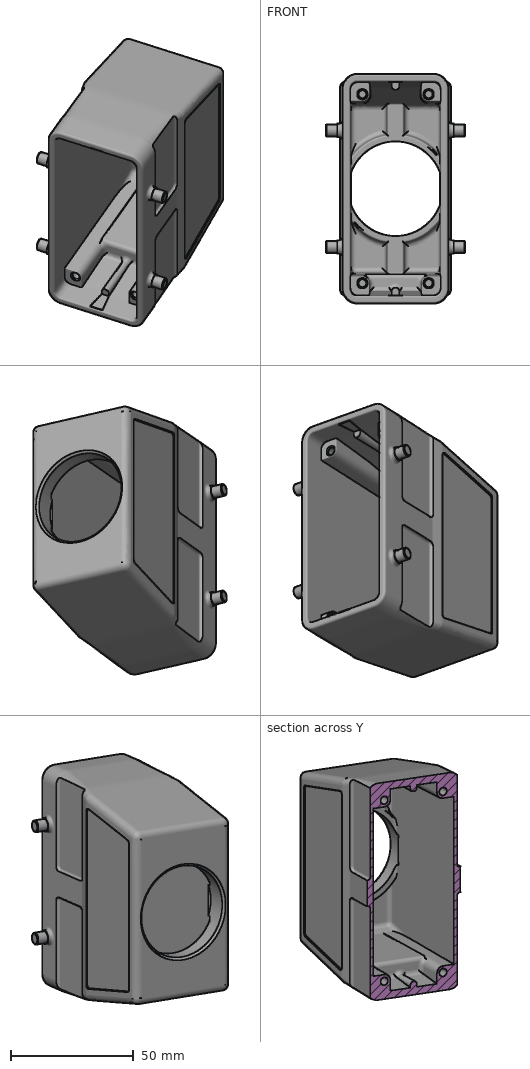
import cadquery as cq
import math


hood_length = 76.0
rim_half_width = 21.5
rim_half_height = 46.85
back_half_width = 22.7
end_bend_depth = 11.2
waist_depth = 32.0
flare_end_depth = 37.0
waist_half_height = 44.7
back_half_height = 36.2
rim_corner_radius = 6.0
body_edge_radius = 2.8
back_edge_radius = 2.79
end_bend_radius = 25.0
waist_bend_radius = 40.0
flare_bend_radius = 7.0
waist_side_radius = 0.1
rim_outer_radius = 1.0

cavity_depth = 73.0
cavity_rim_half_width = 18.4
cavity_back_half_width = 18.1
cavity_rim_half_height = 43.7
cavity_bend_half_height = 43.4
cavity_bend_radius = 55.0
cavity_waist_half_height = 41.4
cavity_back_half_height = 33.7
cavity_rim_corner_radius = 2.9
cavity_back_corner_radius = 2.0
rim_inner_radius = 0.65
floor_fillet = 1.9

entry_radius = 19.25
entry_chamfer = 1.0
ring_radius = 22.0
rib_half_width = 3.2
ring_height = 5.0
ring_draft = 10.0
ring_edge_radius = 0.6
ring_wall_fillet = 1.2

fitting_depth = 9.5
screw_x = 13.5
screw_z = 38.5
boss_corner_radius = 2.8
boss_draft = 1.0
boss_edge_radius = 0.3
screw_hole_radius = 1.6
screw_hole_chamfer = 0.55
screw_hole_depth = 15.0
post_radius = 1.6
post_z = 41.9
pad_z = 43.35
pad_start = 0.8
pad_rim_half_width = 2.8
filler_depth = 30.0
filler_edge_radius = 1.8
filler_corner_fillet = 1.8
filler_half_width = 12.0
filler_top_z = -34.8

grip_depth = 1.4
grip_start = 11.6
grip_end = 32.4
grip_half_gap = 5.55
grip_corner_radius = 2.0
grip_floor_fillet = 1.0
panel_depth = 0.4
panel_start = 37.2
panel_end = 70.7
panel_margin = 5.25
panel_corner_radius = 1.5
panel_edge_chamfer = 0.36

peg_tip_x = 28.5
peg_depth = 6.2
peg_z = 23.75
peg_radius = 2.5
peg_collar_radius = 2.85
peg_collar_end = 23.65
peg_base_radius = 4.1
peg_tip_chamfer = 0.4
peg_root = 1.0

SIDES = (-1, 1)
SELECT_TOLERANCE = 0.01


def section_plane(depth):
    """Plane across the hood at the given depth; local x, y are X, Z and +Y is -normal."""
    return cq.Workplane("XZ", origin=(0, depth, 0))


def slice_box(depth, half_x, z_min, z_max):
    """Selector for what has its centre in the given X, Z window at the given depth."""
    near, far = depth - SELECT_TOLERANCE, depth + SELECT_TOLERANCE
    return cq.selectors.BoxSelector((-half_x, near, z_min), (half_x, far, z_max))


def rounded_loft(stations):
    """Ruled loft through rounded rectangles (depth, half width, half height, corner radius)."""
    sketches = []
    for depth, half_width, half_height, radius in stations:
        sketch = cq.Sketch().rect(2 * half_width, 2 * half_height).vertices().fillet(radius)
        sketches.append(sketch.moved(cq.Location(cq.Vector(0, 0, -depth))))
    return cq.Workplane("XZ").placeSketch(*sketches).loft(ruled=True)


def bend_points(before, here, after):
    """Start, middle and end of the arc that rounds the corner at the middle station."""
    corner = cq.Vector(here[0], here[1])
    inward = (cq.Vector(before[0], before[1]) - corner).normalized()
    onward = (cq.Vector(after[0], after[1]) - corner).normalized()
    half_turn = (math.pi - inward.getAngle(onward)) / 2
    tangent = here[2] * math.tan(half_turn)
    sagitta = here[2] * (1 / math.cos(half_turn) - 1)
    bisector = (inward + onward).normalized()
    points = [corner + inward * tangent, corner + bisector * sagitta, corner + onward * tangent]
    return [(p.x, p.y) for p in points]


def bent_profile(plane, half_span, outline):
    """Prism symmetric about the Y axis, its outline bent smoothly at the inner stations.

    outline lists (depth, half size, bend radius); the two end stations have no bend.
    """
    on_yz = plane == "YZ"

    def place(depth, size):
        return (depth, size) if on_yz else (size, depth)

    def trace(wire, stations, sign):
        for before, here, after in zip(stations, stations[1:], stations[2:]):
            start, middle, end = bend_points(before, here, after)
            wire = wire.lineTo(*place(start[0], sign * start[1]))
            wire = wire.threePointArc(
                place(middle[0], sign * middle[1]),
                place(end[0], sign * end[1]),
            )
        return wire.lineTo(*place(stations[-1][0], sign * stations[-1][1]))

    first, last = outline[0], outline[-1]
    wire = trace(cq.Workplane(plane).moveTo(*place(*first[:2])), outline, 1)
    wire = wire.lineTo(*place(last[0], -last[1]))
    wire = trace(wire, outline[::-1], -1)
    return wire.close().extrude(half_span, both=True)


def outer_half_height(depth):
    """Half height of the outer body behind the waist."""
    slope = (waist_half_height - back_half_height) / (hood_length - waist_depth)
    return waist_half_height - slope * (depth - waist_depth)


def make_outer_body():
    end_outline = [
        (0, rim_half_height, 0),
        (end_bend_depth, rim_half_height, end_bend_radius),
        (waist_depth, waist_half_height, waist_bend_radius),
        (hood_length, back_half_height, 0),
    ]
    side_outline = [
        (0, rim_half_width, 0),
        (waist_depth, rim_half_width, waist_side_radius),
        (flare_end_depth, back_half_width, flare_bend_radius),
        (hood_length, back_half_width, 0),
    ]
    flare_end_half_height = outer_half_height(flare_end_depth)
    body = rounded_loft([
        (0, rim_half_width, rim_half_height, rim_corner_radius),
        (end_bend_depth, rim_half_width, rim_half_height, rim_corner_radius),
        (waist_depth, rim_half_width, waist_half_height, body_edge_radius),
        (flare_end_depth, back_half_width, flare_end_half_height, body_edge_radius),
        (hood_length, back_half_width, back_half_height, body_edge_radius),
    ])
    body = body.faces(">Y").edges().fillet(back_edge_radius)
    body = body.faces("<Y").edges().fillet(rim_outer_radius)
    body = body.intersect(bent_profile("YZ", 2 * back_half_width, end_outline))
    return body.intersect(bent_profile("XY", 2 * rim_half_height, side_outline))


def make_cavity():
    """Plain cavity, before anything is left standing in it."""
    def half_width(depth):
        lost = cavity_rim_half_width - cavity_back_half_width
        return cavity_rim_half_width - lost * depth / cavity_depth

    outline = [
        (0, cavity_rim_half_height, 0),
        (end_bend_depth, cavity_bend_half_height, cavity_bend_radius),
        (waist_depth, cavity_waist_half_height, waist_bend_radius),
        (cavity_depth, cavity_back_half_height, 0),
    ]
    radii = [cavity_rim_corner_radius] * 2 + [cavity_back_corner_radius] * 2
    cavity = rounded_loft([(d, half_width(d), h, r) for (d, h, _), r in zip(outline, radii)])
    return cavity.intersect(bent_profile("YZ", 2 * rim_half_width, outline))


def make_bosses():
    """Four screw bosses, each running into the corner of the hood and back to its end."""
    width = 2 * (cavity_rim_half_width - screw_x) + 2 * boss_corner_radius
    offset = width / 2 - boss_corner_radius
    bosses = cq.Workplane()
    for x in SIDES:
        for z in SIDES:
            plane = section_plane(fitting_depth).center(x * (screw_x + offset), z * (screw_z + offset))
            boss = plane.sketch().rect(width, width).vertices().fillet(boss_corner_radius).finalize()
            boss = boss.extrude(fitting_depth - hood_length, taper=-boss_draft)
            bosses = bosses.add(boss.faces("<Y").edges().fillet(boss_edge_radius))
    return bosses.combine()


def make_posts():
    """Round-nosed locating posts on the +-Z walls."""
    length = 6 * post_radius
    offset = length / 2 - post_radius
    posts = cq.Workplane()
    for z in SIDES:
        plane = section_plane(fitting_depth).center(0, z * (post_z + offset))
        post = plane.slot2D(length, 2 * post_radius, 90).extrude(fitting_depth - hood_length)
        posts = posts.add(post)
    return posts.combine()


def make_pads():
    """Flat pads on the +-Z walls, narrowing from the rim to the posts."""
    outline = [
        (-pad_rim_half_width, pad_start),
        (pad_rim_half_width, pad_start),
        (post_radius, fitting_depth),
        (-post_radius, fitting_depth),
    ]
    pad = cq.Workplane("XY", origin=(0, 0, pad_z)).polyline(outline).close().extrude(post_radius)
    return pad.union(pad.mirror("XY"))


def make_filler():
    """Block between the two lower bosses, standing on the -Z wall."""
    bottom = -rim_half_height
    block = (
        section_plane(filler_depth)
        .center(0, (filler_top_z + bottom) / 2)
        .rect(2 * filler_half_width, filler_top_z - bottom)
        .extrude(filler_depth - hood_length)
    )
    return block.edges("<Y and >Z").fillet(filler_edge_radius)


def add_fittings(cavity):
    """Leave the bosses, posts, pads and filler block standing in the cavity."""
    cavity = cavity.cut(make_bosses()).cut(make_posts()).cut(make_filler())
    filler_front = cavity.faces(slice_box(filler_depth, screw_x, -rim_half_height, filler_top_z))
    cavity = filler_front.edges("not >Z").fillet(filler_corner_fillet)
    return cavity.cut(make_pads())


def ring_flare():
    """Growth of the ring and rib from their tops to the back wall, from their draft."""
    return ring_height * math.tan(math.radians(ring_draft))


def make_entry_ring():
    """Ring around the cable entry with a rib across it along Z, drafted towards the rim."""
    base = section_plane(cavity_depth)
    ring = base.circle(ring_radius + ring_flare()).extrude(ring_height, taper=ring_draft)
    rib_width = 2 * (rib_half_width + ring_flare())
    rib_length = 3 * cavity_back_half_height
    rib = base.rect(rib_width, rib_length).extrude(ring_height, taper=ring_draft)
    return ring.union(rib)


def stiffen_back_wall(cavity):
    """Leave the entry ring and rib standing in the cavity and round their edges."""
    ring_top = cavity_depth - ring_height
    along_side_walls = slice_box(ring_top, rim_half_width, -rib_half_width, rib_half_width)
    ring_and_rib = slice_box(ring_top, screw_x, -rim_half_height, rim_half_height)
    cavity = cavity.cut(make_entry_ring())
    cavity = cavity.faces(">Y").edges().fillet(floor_fillet)
    cavity = cavity.edges(along_side_walls).fillet(ring_wall_fillet)
    return cavity.edges(ring_and_rib).fillet(ring_edge_radius)


def cut_screw_holes(hood):
    centres = [(x * screw_x, z * screw_z) for x in SIDES for z in SIDES]
    mouth_radius = screw_hole_radius + screw_hole_chamfer
    holes = (
        section_plane(fitting_depth)
        .pushPoints(centres)
        .circle(screw_hole_radius)
        .extrude(-screw_hole_depth)
    )
    mouths = (
        section_plane(fitting_depth)
        .pushPoints(centres)
        .circle(mouth_radius)
        .extrude(-screw_hole_chamfer, taper=45)
    )
    return hood.cut(holes).cut(mouths)


def cut_entry(hood):
    """Chamfered cable entry through the back wall and its ring."""
    mouth_radius = entry_radius + entry_chamfer
    entry = section_plane(hood_length).circle(entry_radius).extrude(2 * ring_height)
    mouth = section_plane(hood_length).circle(mouth_radius).extrude(entry_chamfer, taper=45)
    return hood.cut(entry).cut(mouth)


def make_grip_recess():
    """Recess cutter for the +X side and the +Z half, open towards the +Z end."""
    height = rim_half_height
    cutter = (
        cq.Workplane("YZ", origin=(rim_half_width - grip_depth, 0, 0))
        .moveTo((grip_start + grip_end) / 2, grip_half_gap + height / 2)
        .rect(grip_end - grip_start, height)
        .extrude(2 * grip_depth)
    )
    cutter = cutter.edges("|X and <Z").fillet(grip_corner_radius)
    return cutter.faces("<X").edges("not >Z").fillet(grip_floor_fillet)


def make_panel_recess():
    """Shallow trapezoidal recess cutter for the +X side."""
    start_z = outer_half_height(panel_start) - panel_margin
    end_z = outer_half_height(panel_end) - panel_margin
    outline = [
        (panel_start, start_z),
        (panel_end, end_z),
        (panel_end, -end_z),
        (panel_start, -start_z),
    ]
    cutter = (
        cq.Workplane("YZ", origin=(back_half_width - panel_depth, 0, 0))
        .polyline(outline)
        .close()
        .extrude(2 * panel_depth)
    )
    cutter = cutter.edges("|X").fillet(panel_corner_radius)
    return cutter.faces("<X").edges().chamfer(panel_edge_chamfer)


def make_peg():
    """Locking peg on the +X side at the +Z position."""
    collar_fillet = peg_base_radius - peg_collar_radius
    mid = collar_fillet * (1 - math.sqrt(0.5))
    profile = (
        cq.Workplane("XY")
        .moveTo(rim_half_width - peg_root, 0)
        .lineTo(rim_half_width - peg_root, peg_base_radius)
        .lineTo(rim_half_width, peg_base_radius)
        .threePointArc(
            (rim_half_width + mid, peg_collar_radius + mid),
            (rim_half_width + collar_fillet, peg_collar_radius),
        )
        .lineTo(peg_collar_end, peg_collar_radius)
        .lineTo(peg_collar_end, peg_radius)
        .lineTo(peg_tip_x - peg_tip_chamfer, peg_radius)
        .lineTo(peg_tip_x, peg_radius - peg_tip_chamfer)
        .lineTo(peg_tip_x, 0)
        .close()
    )
    return profile.revolve(360, (0, 0, 0), (1, 0, 0)).translate((0, peg_depth, peg_z))


def on_both_sides(shape):
    """The shape given at +X, +Z and its mirror images at the other three places."""
    pair = [shape, shape.mirror("YZ")]
    return pair + [half.mirror("XY") for half in pair]


def make_hood():
    hood = make_outer_body().cut(stiffen_back_wall(add_fittings(make_cavity())))
    mouth_half_width = cavity_rim_half_width + SELECT_TOLERANCE
    mouth_half_height = cavity_rim_half_height + SELECT_TOLERANCE
    rim_mouth = slice_box(0, mouth_half_width, -mouth_half_height, mouth_half_height)
    hood = hood.edges(rim_mouth).fillet(rim_inner_radius)
    hood = cut_entry(cut_screw_holes(hood))
    for recess in on_both_sides(make_grip_recess()):
        hood = hood.cut(recess)
    panel = make_panel_recess()
    hood = hood.cut(panel).cut(panel.mirror("YZ"))
    for peg in on_both_sides(make_peg()):
        hood = hood.union(peg)
    return hood


result = make_hood()